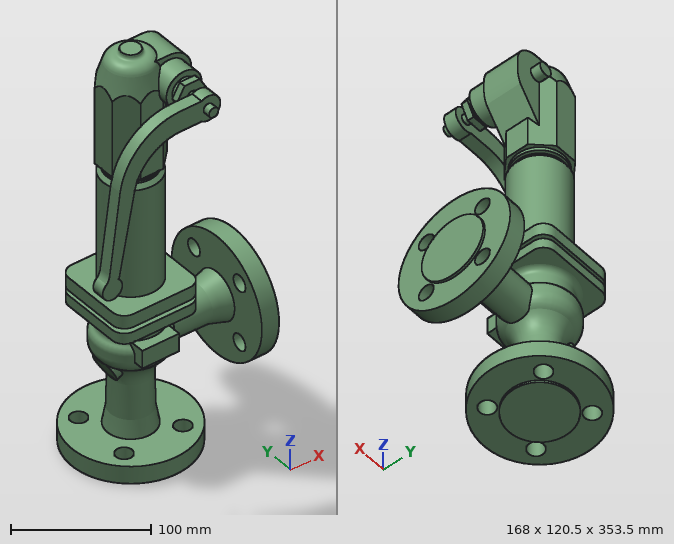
import cadquery as cq
import math

total_height = 353.5
outlet_z = 95.0
outlet_face_x = 95.0

flange_radius = 52.5
flange_back = 17.5
raised_face_radius = 29.0
raised_face_height = 2.0
bolt_circle_radius = 37.5
bolt_hole_diameter = 14.0
bolt_count = 4
first_bolt_angle = 45
hub_base_radius = 21.0

hub_top_z = 33.0
hub_top_radius = 18.0
neck_top_z = 63.5
neck_top_radius = 17.3
chest_bottom_z = 82.5
chest_bottom_radius = 24.7
chest_belly_z = 87.0
chest_belly_radius = 29.5
chest_low_z = 94.5
chest_high_z = 99.7
chest_radius = 31.0
shoulder_z = 106.0
shoulder_radius = 28.3
collar_bottom_z = 110.3
collar_top_z = 117.7
collar_radius = 26.5
collar_flare_width = 4.2
collar_flare_height = 5.3

outlet_hub_x = 61.5
outlet_pipe_radius = 16.0
outlet_hub_radius = 16.3

square_side = 72.5
square_corner_radius = 11.0
lower_square_z = collar_top_z + collar_flare_height
lower_square_top = 132.5
joint_step_radius = 31.0
joint_step_height = 1.0
joint_radius = 27.5
upper_square_z = 136.8
upper_square_top = 148.5

bonnet_radius = 24.7
bonnet_edge_z = 244.3
bonnet_top_z = 248.0
bonnet_top_radius = 21.5
groove_bottom_z = 250.0
groove_radius = 19.0
groove_top_z = 252.0
lock_ring_radius = 22.5

cap_bottom_z = 255.2
cap_sides = 8
cap_across_flats = 2 * bonnet_radius
cap_cone_z = 329.5
dome_z = 343.0
dome_radius = 20.5
dome_top_z = 349.5
dome_top_radius = 11.3
knob_base_radius = 8.5
knob_base_z = 352.5
knob_top_radius = 8.0

shaft_x = 22.3
shaft_z = 326.3
shaft_radius = 4.2
shaft_front_y = -68.0
lug_half_width = 16.0
lug_radius = 20.0
lug_side_z = 316.0
lug_bend_x = 39.5
lug_bend_z = 303.3
lug_foot_x = 19.0
lug_foot_z = 275.7
rear_pin_radius = 6.0
rear_pin_y = 24.7
boss_radius = 16.0
boss_front_y = -33.2
nut_neck_radius = 10.5
nut_back_y = -37.0
nut_front_y = -42.8
nut_sides = 6
nut_across_flats = 23.7

lever_back_y = -50.5
lever_thickness = 11.0
lever_hub_radius = 11.0
arm_half_height = 9.2
bend_x = -2.5
outer_bend_radius = 55.0
inner_bend_radius = 42.5
outer_lean = math.radians(7.6)
inner_lean = math.radians(11.0)
arm_end_z = 217.0
ball_x = -64.0
ball_z = 203.5
ball_radius = 9.0
ball_join_z = 210.7

plate_width = 33.2
plate_front_y = -35.0
drain_radius = 12.5
drain_face_x = -23.5
drain_face_z = 77.0
drain_length = 23.5
drain_axis = (2, 0, 1)


def pipe_flange():
    """Flange with its face on the XY plane and its back towards +Z."""
    disc = cq.Workplane("XY").workplane(offset=raised_face_height)
    disc = disc.circle(flange_radius).extrude(flange_back - raised_face_height)
    disc = (
        disc.faces(">Z").workplane()
        .polarArray(bolt_circle_radius, first_bolt_angle, 360, bolt_count)
        .hole(bolt_hole_diameter)
    )
    face = cq.Workplane("XY").circle(raised_face_radius).extrude(flange_back)
    return disc.union(face)


def valve_body():
    """Inlet neck, chest and collar up to the lower bonnet flange, as one revolved shape."""
    profile = (
        cq.Workplane("XZ")
        .moveTo(0, raised_face_height)
        .lineTo(hub_base_radius, raised_face_height)
        .lineTo(hub_base_radius, flange_back)
        .lineTo(hub_top_radius, hub_top_z)
        .lineTo(neck_top_radius, neck_top_z)
        .tangentArcPoint((chest_bottom_radius, chest_bottom_z), relative=False)
        .threePointArc((chest_belly_radius, chest_belly_z), (chest_radius, chest_low_z))
        .lineTo(chest_radius, chest_high_z)
        .tangentArcPoint((shoulder_radius, shoulder_z), relative=False)
        .tangentArcPoint((collar_radius, collar_bottom_z), relative=False)
        .lineTo(collar_radius, collar_top_z)
        .tangentArcPoint((collar_radius + collar_flare_width, lower_square_z), relative=False)
        .lineTo(0, lower_square_z)
        .close()
    )
    return profile.revolve(360, (0, 0, 0), (0, 1, 0))


def outlet():
    """Horizontal outlet pipe with a widening hub and a flange."""
    hub_end_x = outlet_face_x - flange_back
    pipe = (
        cq.Workplane("XZ", origin=(0, 0, outlet_z))
        .moveTo(0, 0)
        .lineTo(0, outlet_pipe_radius)
        .lineTo(collar_radius, outlet_pipe_radius)
        .lineTo(outlet_hub_x, outlet_hub_radius)
        .lineTo(hub_end_x, hub_base_radius)
        .lineTo(outlet_face_x - raised_face_height, hub_base_radius)
        .lineTo(outlet_face_x - raised_face_height, 0)
        .close()
        .revolve(360, (0, 0, 0), (1, 0, 0))
    )
    flange = pipe_flange().rotate((0, 0, 0), (0, 1, 0), -90)
    return pipe.union(flange.translate((outlet_face_x, 0, outlet_z)))


def square_flange(bottom_z, top_z):
    """Square flange with rounded corners between two heights."""
    plate = cq.Workplane("XY").workplane(offset=bottom_z)
    plate = plate.rect(square_side, square_side).extrude(top_z - bottom_z)
    return plate.edges("|Z").fillet(square_corner_radius)


def bonnet():
    """Joint between the square flanges, spring bonnet and threaded neck."""
    joint_step_top = lower_square_top + joint_step_height
    outline = [
        (0, lower_square_z),
        (joint_step_radius, lower_square_z),
        (joint_step_radius, joint_step_top),
        (joint_radius, joint_step_top),
        (joint_radius, upper_square_z),
        (bonnet_radius, upper_square_z),
        (bonnet_radius, bonnet_edge_z),
        (bonnet_top_radius, bonnet_top_z),
        (bonnet_top_radius, groove_bottom_z),
        (groove_radius, groove_bottom_z),
        (groove_radius, groove_top_z),
        (lock_ring_radius, groove_top_z),
        (lock_ring_radius, cap_bottom_z),
        (0, cap_bottom_z),
    ]
    return cq.Workplane("XZ").polyline(outline).close().revolve(360, (0, 0, 0), (0, 1, 0))


def cap():
    """Octagonal prism trimmed by a cone and a dome, with a knob on top."""
    corner_radius = cap_across_flats / 2 / math.cos(math.pi / cap_sides)
    cone_slope = (cap_across_flats / 2 - dome_radius) / (dome_z - cap_cone_z)
    cone_base_radius = dome_radius + cone_slope * (dome_z - cap_bottom_z)
    prism = (
        cq.Workplane("XY").workplane(offset=cap_bottom_z)
        .polygon(cap_sides, 2 * corner_radius)
        .extrude(total_height - cap_bottom_z)
        .rotate((0, 0, 0), (0, 0, 1), 180 / cap_sides)
    )
    envelope = (
        cq.Workplane("XZ")
        .moveTo(0, cap_bottom_z)
        .lineTo(cone_base_radius, cap_bottom_z)
        .lineTo(dome_radius, dome_z)
        .tangentArcPoint((dome_top_radius, dome_top_z), relative=False)
        .tangentArcPoint((knob_base_radius, knob_base_z), relative=False)
        .lineTo(knob_top_radius, total_height)
        .lineTo(0, total_height)
        .close()
        .revolve(360, (0, 0, 0), (0, 1, 0))
    )
    return prism.intersect(envelope)


def shaft_workplane(y):
    """Plane square to the shaft at the given Y, with its normal towards -Y."""
    return cq.Workplane("XZ", origin=(shaft_x, y, shaft_z))


def lug():
    """Bearing lug on the side of the cap, rounded at the top and tapering into the flats."""
    top_z = shaft_z + lug_radius
    side_x = shaft_x + lug_radius
    return (
        cq.Workplane("XZ", origin=(0, lug_half_width, 0))
        .moveTo(0, top_z)
        .lineTo(shaft_x, top_z)
        .tangentArcPoint((side_x, shaft_z), relative=False)
        .lineTo(side_x, lug_side_z)
        .tangentArcPoint((lug_bend_x, lug_bend_z), relative=False)
        .lineTo(lug_foot_x, lug_foot_z)
        .lineTo(0, lug_foot_z)
        .close()
        .extrude(2 * lug_half_width)
    )


def shaft_parts():
    """Rear pin, bearing boss, gland nut and shaft, stacked along -Y."""
    rear_pin = shaft_workplane(rear_pin_y).circle(rear_pin_radius).extrude(rear_pin_y)
    boss = shaft_workplane(0).circle(boss_radius).extrude(-boss_front_y)
    nut_neck = shaft_workplane(0).circle(nut_neck_radius).extrude(-nut_back_y)
    nut_across_corners = nut_across_flats / math.cos(math.pi / nut_sides)
    nut = shaft_workplane(nut_back_y).polygon(nut_sides, nut_across_corners).extrude(nut_back_y - nut_front_y)
    shaft = shaft_workplane(0).circle(shaft_radius).extrude(-shaft_front_y)
    return rear_pin.union(boss).union(nut_neck).union(nut).union(shaft)


def bend_point(centre_z, radius, angle):
    """Point on a lever bend, at an angle above the -X direction."""
    return (bend_x - radius * math.cos(angle), centre_z + radius * math.sin(angle))


def lean_point(start, lean, z):
    """Point at height z on the straight arm edge that leans away from vertical."""
    return (start[0] - (start[1] - z) * math.tan(lean), z)


def lever():
    """Flat lever: hub on the shaft, bent tapering arm and a round end."""
    arm_top = shaft_z + arm_half_height
    arm_bottom = shaft_z - arm_half_height
    outer_centre_z = arm_top - outer_bend_radius
    inner_centre_z = arm_bottom - inner_bend_radius
    ball_join_offset = math.sqrt(ball_radius**2 - (ball_join_z - ball_z) ** 2)
    halfway = math.radians(45)
    outer_end = bend_point(outer_centre_z, outer_bend_radius, outer_lean)
    inner_end = bend_point(inner_centre_z, inner_bend_radius, inner_lean)
    plane = cq.Workplane("XZ", origin=(0, lever_back_y, 0))
    arm = (
        plane.moveTo(shaft_x, arm_top)
        .lineTo(bend_x, arm_top)
        .threePointArc(bend_point(outer_centre_z, outer_bend_radius, halfway), outer_end)
        .lineTo(*lean_point(outer_end, outer_lean, arm_end_z))
        .tangentArcPoint((ball_x - ball_join_offset, ball_join_z), relative=False)
        .lineTo(ball_x, ball_z)
        .lineTo(*lean_point(inner_end, inner_lean, ball_join_z))
        .lineTo(*inner_end)
        .threePointArc(bend_point(inner_centre_z, inner_bend_radius, halfway), (bend_x, arm_bottom))
        .lineTo(shaft_x, arm_bottom)
        .close()
        .extrude(lever_thickness)
    )
    hub = shaft_workplane(lever_back_y).circle(lever_hub_radius).extrude(lever_thickness)
    ball = plane.center(ball_x, ball_z).circle(ball_radius).extrude(lever_thickness)
    return arm.union(hub).union(ball)


def name_plate():
    """Rectangular block standing out from the front of the chest."""
    height = collar_bottom_z - chest_low_z
    block = cq.Workplane("XY", origin=(0, plate_front_y, chest_low_z))
    return block.box(plate_width, -plate_front_y, height, centered=(True, False, False))


def drain_boss():
    """Inclined round boss whose flat end faces outwards and down."""
    face = cq.Plane(origin=(drain_face_x, 0, drain_face_z), xDir=(0, 1, 0), normal=drain_axis)
    return cq.Workplane(face).circle(drain_radius).extrude(drain_length)


result = pipe_flange()
for feature in (
    valve_body(),
    outlet(),
    square_flange(lower_square_z, lower_square_top),
    square_flange(upper_square_z, upper_square_top),
    bonnet(),
    cap(),
    lug(),
    shaft_parts(),
    lever(),
    name_plate(),
    drain_boss(),
):
    result = result.union(feature)